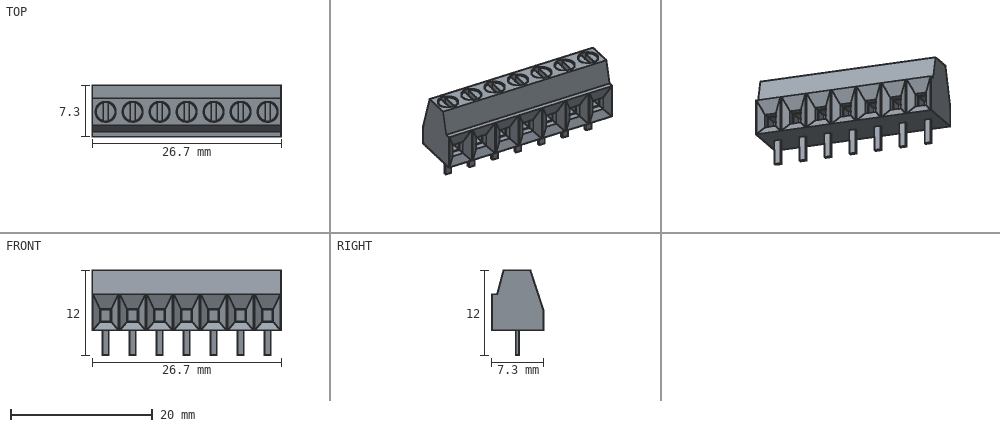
import cadquery as cq


pole_count = 7
pitch = 3.81
row_length = pole_count * pitch
first_pole_x = -row_length / 2 + pitch / 2

depth = 7.3
height = 8.5
ledge_height = 5.1
ledge_depth = 0.75
top_front_y = 1.65
back_slope_run = 1.85
top_back_y = depth - back_slope_run
back_wall_height = 2.85

entry_wall = 0.1
funnel_width = pitch - 2 * entry_wall
funnel_depth = ledge_depth
passage_width = 1.65
passage_bottom = 1.15
passage_top = 3.05
passage_height = passage_top - passage_bottom
passage_mid_z = (passage_bottom + passage_top) / 2
passage_depth = 0.95
frame_width = 0.16
socket_width = passage_width - 2 * frame_width
socket_height = passage_height - 2 * frame_width
socket_depth = 2.0

screw_y = (top_front_y + top_back_y) / 2
screw_hole_diameter = 2.9
screw_diameter = 2.7
screw_recess = 0.2
screw_gap_depth = 1.5
slot_width = 0.7
slot_depth = 0.9

pin_width = 0.9
pin_thickness = 0.5
pin_length = 3.5
pin_y = 3.6


def make_housing():
    """Extrude the stepped housing profile along the whole row."""
    profile = [
        (0, 0),
        (depth, 0),
        (depth, back_wall_height),
        (top_back_y, height),
        (top_front_y, height),
        (ledge_depth, ledge_height),
        (0, ledge_height),
    ]
    return cq.Workplane("YZ").polyline(profile).close().extrude(row_length / 2, both=True)


def make_wire_entry(pole_x):
    """Return the cavity for one wire: funnel, passage and socket."""
    front = cq.Workplane("XZ", origin=(pole_x, 0, 0))
    funnel = (
        front.center(0, ledge_height / 2)
        .rect(funnel_width, ledge_height)
        .workplane(offset=-funnel_depth)
        .center(0, passage_mid_z - ledge_height / 2)
        .rect(passage_width, passage_height)
        .loft(ruled=True)
    )
    passage = (
        front.workplane(offset=-funnel_depth)
        .center(0, passage_mid_z)
        .rect(passage_width, passage_height)
        .extrude(-passage_depth)
    )
    socket = (
        front.workplane(offset=-funnel_depth - passage_depth)
        .center(0, passage_mid_z)
        .rect(socket_width, socket_height)
        .extrude(-socket_depth)
    )
    return funnel.union(passage).union(socket)


def make_screw_cavity(pole_x):
    """Return the space around one slotted screw head sunk in its round hole."""
    top = cq.Workplane("XY", origin=(pole_x, screw_y, height))
    hole = top.circle(screw_hole_diameter / 2).extrude(-screw_gap_depth)
    head = (
        top.workplane(offset=-screw_recess)
        .circle(screw_diameter / 2)
        .extrude(screw_recess - screw_gap_depth)
    )
    slot = (
        top.workplane(offset=-screw_recess)
        .rect(slot_width, screw_diameter)
        .extrude(-slot_depth)
    )
    return hole.cut(head.cut(slot))


def make_pin(pole_x):
    """Return the solder pin hanging below one pole."""
    return (
        cq.Workplane("XY", origin=(pole_x, pin_y, 0))
        .rect(pin_width, pin_thickness)
        .extrude(-pin_length)
    )


result = make_housing()
for pole in range(pole_count):
    pole_x = first_pole_x + pole * pitch
    result = result.cut(make_wire_entry(pole_x))
    result = result.cut(make_screw_cavity(pole_x))
    result = result.union(make_pin(pole_x))